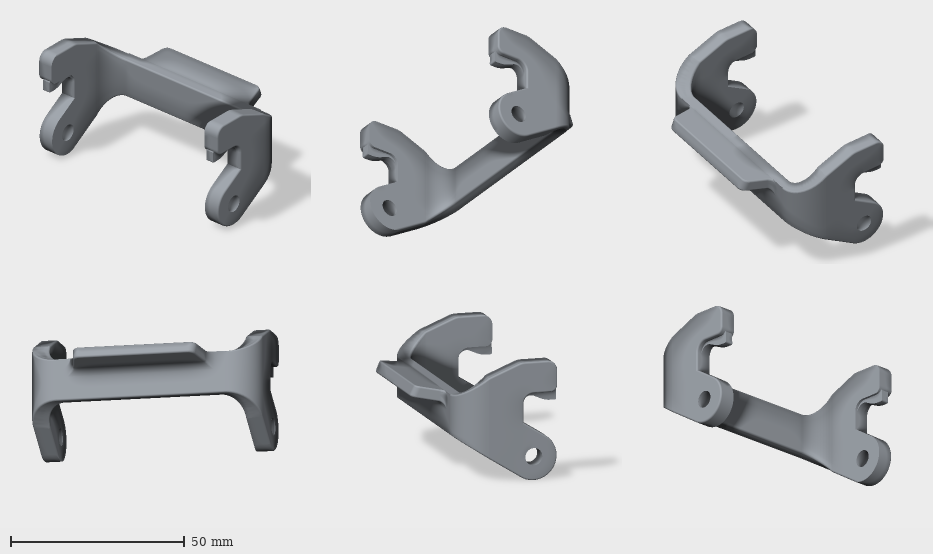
import cadquery as cq
import math


HALF_WIDTH = 34.0
ARM_THICKNESS = 5.0
PLATE_THICKNESS = 3.5
BACK_Y = 22.5
PLATE_TOP_Z = 18.1
PLATE_BOTTOM_Z = 5.9
BEND_OUTER_RADIUS = 9.0
BEND_INNER_RADIUS = 6.0
EDGE_FILLET = 0.5

PIVOT_DIAMETER = 5.1
LOBE_RADIUS = 7.0
FRONT_Y = -7.2
ARM_TOP_Z = 28.0
ARM_SLOPE_Y = 3.6
ARM_BEND_Z = 24.0
ARM_SLOPE_RADIUS = 5.0
ARM_FRONT_RADIUS = 3.0
NOTCH_BACK_Y = 3.0
NOTCH_TOP_Z = 18.75
NOTCH_RADIUS = 3.0
NOTCH_LIP_RADIUS = 2.0

NOSE_WIDTH = 2.5
NOSE_INSET = 1.7
NOSE_HOLLOW_Y = 0.4
NOSE_HOLLOW_Z = 15.2
NOSE_HOLLOW_RADIUS = 2.6
NOSE_RAMP_ANGLE = math.radians(24)
NOSE_BOTTOM_Y = -5.6
NOSE_BOTTOM_Z = 16.1
NOSE_TIP_Y = -7.3
NOSE_FACE_TOP_Y = -7.2
NOSE_FACE_TOP_Z = 19.5
NOSE_ROOT_DEPTH = 1.0
NOSE_TIP_RADIUS = 0.4

TAB_TIP_Y = 32.22
TAB_ANGLE = math.radians(10)
TAB_THICKNESS = 3.5
TAB_TIP_ANGLE = math.radians(26)
TAB_ROOT_HALF_WIDTH = 20.05
TAB_SIDE_ANGLE = math.radians(14)
TAB_RADIUS = 2.0
TAB_ROOT_DEPTH = 1.0

ARM_INNER_X = HALF_WIDTH - ARM_THICKNESS
PLATE_FRONT_Y = BACK_Y - PLATE_THICKNESS
OUTER_BEND_X = HALF_WIDTH - BEND_OUTER_RADIUS
OUTER_BEND_Y = BACK_Y - BEND_OUTER_RADIUS
INNER_BEND_X = ARM_INNER_X - BEND_INNER_RADIUS
INNER_BEND_Y = PLATE_FRONT_Y - BEND_INNER_RADIUS
TAB_TIP_HALF_WIDTH = TAB_ROOT_HALF_WIDTH - (TAB_TIP_Y - BACK_Y) * math.tan(TAB_SIDE_ANGLE)

LOBE_SLOPE_ANGLE = math.atan2(PLATE_BOTTOM_Z, BACK_Y) + math.asin(
    LOBE_RADIUS / math.hypot(BACK_Y, PLATE_BOTTOM_Z)
)


def lobe_point(angle):
    """Point (y, z) on the lobe around the pivot."""
    return (LOBE_RADIUS * math.cos(angle), LOBE_RADIUS * math.sin(angle))


def arm_top_z(y):
    """Height of the sloping top edge of an arm."""
    slope = (ARM_TOP_Z - ARM_BEND_Z) / (OUTER_BEND_Y - ARM_SLOPE_Y)
    return ARM_TOP_Z - slope * (y - ARM_SLOPE_Y)


def arm_bottom_z(y):
    """Height of the sloping bottom edge of an arm."""
    return PLATE_BOTTOM_Z - math.tan(LOBE_SLOPE_ANGLE) * (BACK_Y - y)


def extrude_outline(outline, start_x, length):
    """Solid along X from a closed outline in the YZ plane."""
    return outline.extrude(length).translate((start_x, 0, 0))


def round_corners(body, corners):
    """Round the corners of an outline extruded along X, each given as (y, z, radius)."""
    for y, z, radius in corners:
        corner = cq.selectors.NearestToPointSelector((body.val().Center().x, y, z))
        body = body.edges("|X").edges(corner).fillet(radius)
    return body


def blank_outline():
    """Side outline of an arm with a square front and no notch."""
    return (
        cq.Workplane("YZ")
        .polyline([
            (OUTER_BEND_Y, arm_bottom_z(OUTER_BEND_Y)),
            (OUTER_BEND_Y, ARM_BEND_Z),
            (ARM_SLOPE_Y, ARM_TOP_Z),
            (FRONT_Y, ARM_TOP_Z),
            (FRONT_Y, arm_bottom_z(FRONT_Y)),
        ])
        .close()
    )


def finished_outline():
    """Side outline of an arm with the notch and the lobe around the pivot."""
    lobe_bottom = lobe_point(LOBE_SLOPE_ANGLE - math.pi / 2)
    lobe_top = lobe_point(LOBE_SLOPE_ANGLE + math.pi / 2)
    notch_low_z = lobe_top[1] + math.tan(LOBE_SLOPE_ANGLE) * (NOTCH_BACK_Y - lobe_top[0])
    return (
        cq.Workplane("YZ")
        .moveTo(OUTER_BEND_Y, arm_bottom_z(OUTER_BEND_Y))
        .lineTo(OUTER_BEND_Y, ARM_BEND_Z)
        .lineTo(ARM_SLOPE_Y, ARM_TOP_Z)
        .lineTo(FRONT_Y, ARM_TOP_Z)
        .lineTo(FRONT_Y, NOTCH_TOP_Z)
        .lineTo(NOTCH_BACK_Y, NOTCH_TOP_Z)
        .lineTo(NOTCH_BACK_Y, notch_low_z)
        .lineTo(*lobe_top)
        .threePointArc(lobe_point(LOBE_SLOPE_ANGLE + math.pi), lobe_bottom)
        .close()
    )


def make_arm_blank():
    """Arm at +X with a square front, ending where the bend begins."""
    arm = extrude_outline(blank_outline(), ARM_INNER_X, ARM_THICKNESS)
    arm = round_corners(arm, [(ARM_SLOPE_Y, ARM_TOP_Z, ARM_SLOPE_RADIUS)])
    wedge = (
        cq.Workplane("XY", origin=(0, 0, -LOBE_RADIUS))
        .polyline([(HALF_WIDTH, OUTER_BEND_Y), (ARM_INNER_X, OUTER_BEND_Y), (ARM_INNER_X, INNER_BEND_Y)])
        .close()
        .extrude(ARM_TOP_Z + LOBE_RADIUS)
    )
    return arm.cut(wedge)


def make_front_waste():
    """What both arm blanks lose at the front: the notch and all that lies outside the round corners."""
    corners = [
        (FRONT_Y, ARM_TOP_Z, ARM_FRONT_RADIUS),
        (FRONT_Y, NOTCH_TOP_Z, NOTCH_LIP_RADIUS),
        (NOTCH_BACK_Y, NOTCH_TOP_Z, NOTCH_RADIUS),
    ]
    blank = extrude_outline(blank_outline(), -HALF_WIDTH, 2 * HALF_WIDTH)
    finished = extrude_outline(finished_outline(), -HALF_WIDTH, 2 * HALF_WIDTH)
    return blank.cut(round_corners(finished, corners))


def bend_edge(x, y, radius, arm_z, plate_z):
    """Quarter ellipse: a bend of the given radius cut by a plane that slopes along Y."""
    rise = plate_z - arm_z
    slope_length = math.hypot(radius, rise)
    along_slope = cq.Vector(0, radius, rise)
    return cq.Edge.makeEllipse(
        slope_length,
        radius,
        pnt=cq.Vector(x, y, arm_z),
        dir=along_slope.cross(cq.Vector(1, 0, 0)),
        xdir=along_slope,
        angle1=0,
        angle2=90,
    )


def make_bend():
    """Bend at +X, narrowing in height from the arm to the plate."""
    outer = (OUTER_BEND_X, OUTER_BEND_Y, BEND_OUTER_RADIUS)
    inner = (INNER_BEND_X, INNER_BEND_Y, BEND_INNER_RADIUS)
    outer_top = bend_edge(*outer, arm_top_z(OUTER_BEND_Y), PLATE_TOP_Z)
    inner_top = bend_edge(*inner, arm_top_z(INNER_BEND_Y), PLATE_TOP_Z)
    outer_bottom = bend_edge(*outer, arm_bottom_z(OUTER_BEND_Y), PLATE_BOTTOM_Z)
    inner_bottom = bend_edge(*inner, arm_bottom_z(INNER_BEND_Y), PLATE_BOTTOM_Z)
    loop = [outer_top, inner_top, inner_bottom, outer_bottom]
    sides = [cq.Face.makeRuledSurface(a, b) for a, b in zip(loop, loop[1:] + loop[:1])]
    plate_end = cq.Face.makeFromWires(cq.Wire.makePolygon([e.startPoint() for e in loop], close=True))
    arm_end = cq.Face.makeFromWires(cq.Wire.makePolygon([e.endPoint() for e in loop], close=True))
    shell = cq.Shell.makeShell(sides + [plate_end, arm_end])
    return cq.Workplane(cq.Solid.makeSolid(shell).fix())


def make_plate():
    """Back plate between the two bends."""
    return (
        cq.Workplane("XY", origin=(0, 0, PLATE_BOTTOM_Z))
        .polyline([
            (OUTER_BEND_X, BACK_Y),
            (INNER_BEND_X, PLATE_FRONT_Y),
            (-INNER_BEND_X, PLATE_FRONT_Y),
            (-OUTER_BEND_X, BACK_Y),
        ])
        .close()
        .extrude(PLATE_TOP_Z - PLATE_BOTTOM_Z)
    )


def skin_rim(body, arm_x, bend_x, bend_y, plate_y):
    """Edges around one skin of the bracket, where the skin is two arm faces, two bends and the plate face."""
    mid_z = (PLATE_TOP_Z + PLATE_BOTTOM_Z) / 2
    points = [(0, plate_y, mid_z)]
    for side in (1, -1):
        points.append((side * arm_x, bend_y / 2, mid_z))
        points.append((side * (arm_x + bend_x) / 2, (bend_y + plate_y) / 2, mid_z))
    skin = [body.faces(cq.selectors.NearestToPointSelector(point)).val() for point in points]
    edges = [edge for face in skin for edge in face.Edges()]
    return [edge for edge in edges if sum(edge.isSame(other) for other in edges) == 1]


def make_bracket():
    """Plate, bends and arms, with the inner edges rounded where the plate, bends and arm backs run."""
    half = make_arm_blank().union(make_bend())
    body = make_plate().union(half).union(half.mirror("YZ"))
    inner_rim = skin_rim(body, ARM_INNER_X, INNER_BEND_X, INNER_BEND_Y, PLATE_FRONT_Y)
    inner_rounded = [edge for edge in inner_rim if edge.Center().y > FRONT_Y + EDGE_FILLET]
    body = body.newObject(inner_rounded).fillet(EDGE_FILLET)
    return body.cut(make_front_waste())


def make_nose():
    """Latch nose at +X: a hollow, a straight ramp and a rounded underside, all tangent."""
    sin_ramp = math.sin(NOSE_RAMP_ANGLE)
    cos_ramp = math.cos(NOSE_RAMP_ANGLE)

    def hollow_point(angle):
        return (
            NOSE_HOLLOW_Y - NOSE_HOLLOW_RADIUS * math.sin(angle),
            NOSE_HOLLOW_Z + NOSE_HOLLOW_RADIUS * math.cos(angle),
        )

    ramp_start = hollow_point(NOSE_RAMP_ANGLE)
    ramp_foot_y = ramp_start[0] - (ramp_start[1] - NOSE_BOTTOM_Z) / math.tan(NOSE_RAMP_ANGLE)
    tangent_length = ramp_foot_y - NOSE_BOTTOM_Y
    ramp_end = (ramp_foot_y + tangent_length * cos_ramp, NOSE_BOTTOM_Z + tangent_length * sin_ramp)
    nose = (
        cq.Workplane("YZ", origin=(HALF_WIDTH - NOSE_INSET - NOSE_WIDTH, 0, 0))
        .moveTo(*hollow_point(-math.pi / 2))
        .threePointArc(hollow_point(0), ramp_start)
        .lineTo(*ramp_end)
        .tangentArcPoint((NOSE_BOTTOM_Y, NOSE_BOTTOM_Z), relative=False)
        .lineTo(NOSE_TIP_Y, NOSE_BOTTOM_Z)
        .lineTo(NOSE_FACE_TOP_Y, NOSE_FACE_TOP_Z)
        .line(NOSE_ROOT_DEPTH, NOSE_ROOT_DEPTH)
        .lineTo(NOTCH_BACK_Y + NOSE_ROOT_DEPTH, NOSE_FACE_TOP_Z + NOSE_ROOT_DEPTH)
        .lineTo(NOTCH_BACK_Y + NOSE_ROOT_DEPTH, NOSE_HOLLOW_Z)
        .close()
        .extrude(NOSE_WIDTH)
    )
    tip = cq.selectors.NearestToPointSelector((HALF_WIDTH, NOSE_TIP_Y, NOSE_BOTTOM_Z))
    return nose.edges("|X").edges(tip).fillet(NOSE_TIP_RADIUS)


def tab_top_z(y):
    """Height of the tab's sloping top face."""
    return PLATE_TOP_Z + (y - BACK_Y) * math.tan(TAB_ANGLE)


def tab_bottom_z(y):
    """Height of the tab's sloping bottom face."""
    return tab_top_z(y) - TAB_THICKNESS / math.cos(TAB_ANGLE)


def make_tab_section():
    """Side shape of the tab, with its slanted tip and the round under its root, wider than the tab."""
    root_y = BACK_Y - TAB_ROOT_DEPTH
    root_z = (PLATE_TOP_Z + PLATE_BOTTOM_Z) / 2 - TAB_RADIUS
    tip_top_y = TAB_TIP_Y - TAB_THICKNESS * math.sin(TAB_TIP_ANGLE)
    section = (
        cq.Workplane("YZ")
        .polyline([
            (root_y, PLATE_TOP_Z),
            (BACK_Y, PLATE_TOP_Z),
            (tip_top_y, tab_top_z(tip_top_y)),
            (TAB_TIP_Y, tab_bottom_z(TAB_TIP_Y)),
            (BACK_Y, tab_bottom_z(BACK_Y)),
            (BACK_Y, root_z),
            (root_y, root_z),
        ])
        .close()
        .extrude(OUTER_BEND_X, both=True)
    )
    return round_corners(section, [(BACK_Y, tab_bottom_z(BACK_Y), TAB_RADIUS)])


def make_tab_plan():
    """Plan shape of the tab: tapering sides that flare into the plate, taller than the tab."""
    right_side = [
        (OUTER_BEND_X, BACK_Y - TAB_ROOT_DEPTH),
        (OUTER_BEND_X, BACK_Y),
        (TAB_ROOT_HALF_WIDTH, BACK_Y),
        (TAB_TIP_HALF_WIDTH, TAB_TIP_Y),
    ]
    left_side = [(-x, y) for x, y in reversed(right_side)]
    plan = cq.Workplane("XY").polyline(right_side + left_side).close().extrude(ARM_TOP_Z)
    for side in (1, -1):
        side_root = cq.selectors.NearestToPointSelector((side * TAB_ROOT_HALF_WIDTH, BACK_Y, ARM_TOP_Z / 2))
        plan = plan.edges("|Z").edges(side_root).fillet(TAB_RADIUS)
    return plan


def make_tab():
    """Finger tab that rises backwards from the top of the plate."""
    tab = make_tab_section().intersect(make_tab_plan())
    for side in (1, -1):
        tip_corner = cq.selectors.NearestToPointSelector((side * TAB_TIP_HALF_WIDTH, TAB_TIP_Y, PLATE_TOP_Z))
        tab = tab.edges(tip_corner).fillet(TAB_RADIUS)
    mid_y = (BACK_Y + TAB_TIP_Y) / 2
    rounded = []
    for z in (tab_top_z(mid_y), tab_bottom_z(mid_y)):
        face = tab.faces(cq.selectors.NearestToPointSelector((0, mid_y, z)))
        rounded += face.edges("not <Y").vals()
    return tab.newObject(rounded).fillet(EDGE_FILLET)


def round_outer_edges(body):
    """Round the whole outline of the outer skin, notches included."""
    outer_rim = skin_rim(body, HALF_WIDTH, OUTER_BEND_X, OUTER_BEND_Y, BACK_Y)
    return body.newObject(outer_rim).fillet(EDGE_FILLET)


def drill_pivot(body):
    """Drill the pivot hole through both arms."""
    pivot = cq.Workplane("YZ").circle(PIVOT_DIAMETER / 2).extrude(HALF_WIDTH, both=True)
    return body.cut(pivot)


nose = make_nose()
body = round_outer_edges(make_bracket())
result = drill_pivot(body).union(make_tab()).union(nose).union(nose.mirror("YZ"))